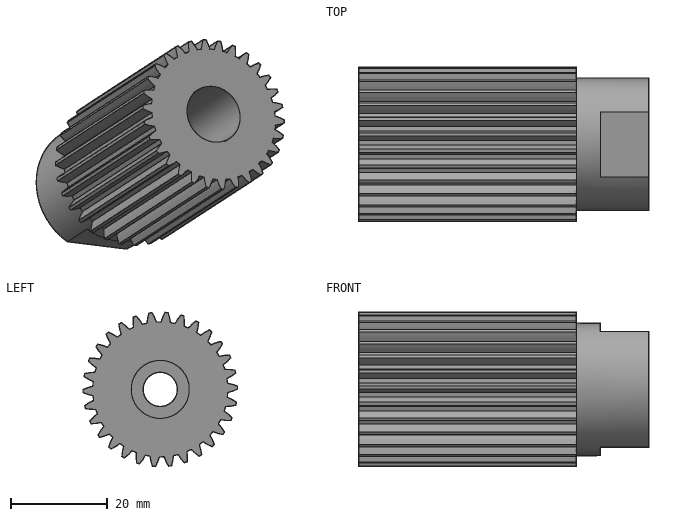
import cadquery as cq
import math

total_length = 60.0
gear_length = 45.0
collar_length = total_length - gear_length

tooth_count = 30
tip_diameter = 32.0
module = tip_diameter / (tooth_count + 2)
tip_radius = tip_diameter / 2
pitch_radius = tip_radius - module
root_radius = pitch_radius - module
tip_width = 0.65
pitch_width = 1.45
root_width = 2.0
first_tooth_angle = -1.3

collar_diameter = 27.5
across_flats = 24.0
flat_length = 10.0

bore_diameter = 12.0
bore_depth = gear_length
through_diameter = 7.0


def polar(radius, angle):
    return (radius * math.cos(angle), radius * math.sin(angle))


def half_angle(radius, width):
    """Half of the angle that a tooth of the given width covers at a radius."""
    return math.asin(width / (2 * radius))


def make_gear():
    """Straight spur gear with two flat facets on each tooth flank."""
    flank = [
        (root_radius, half_angle(root_radius, root_width)),
        (pitch_radius, half_angle(pitch_radius, pitch_width)),
        (tip_radius, half_angle(tip_radius, tip_width)),
    ]
    points = []
    for tooth in range(tooth_count):
        center = math.radians(first_tooth_angle + tooth * 360 / tooth_count)
        points += [polar(radius, center - half) for radius, half in flank]
        points += [polar(radius, center + half) for radius, half in reversed(flank)]
    return cq.Workplane("YZ").polyline(points).close().extrude(gear_length)


def make_collar():
    """Round collar with two flats, facing +Z and -Z, at its free end."""
    collar = cq.Workplane("YZ", origin=(gear_length, 0, 0)).circle(collar_diameter / 2).extrude(collar_length)
    flat_depth = (collar_diameter - across_flats) / 2
    flat_offset = (across_flats + flat_depth) / 2
    for side in (1, -1):
        segment = cq.Workplane("XY").box(flat_length, collar_diameter, flat_depth)
        collar = collar.cut(
            segment.translate((total_length - flat_length / 2, 0, side * flat_offset))
        )
    return collar


def make_bore():
    """Wide bore from the gear end that steps down to a through hole."""
    wide = cq.Workplane("YZ").circle(bore_diameter / 2).extrude(bore_depth)
    narrow = cq.Workplane("YZ").circle(through_diameter / 2).extrude(total_length)
    return wide.union(narrow)


result = make_gear().union(make_collar()).cut(make_bore())